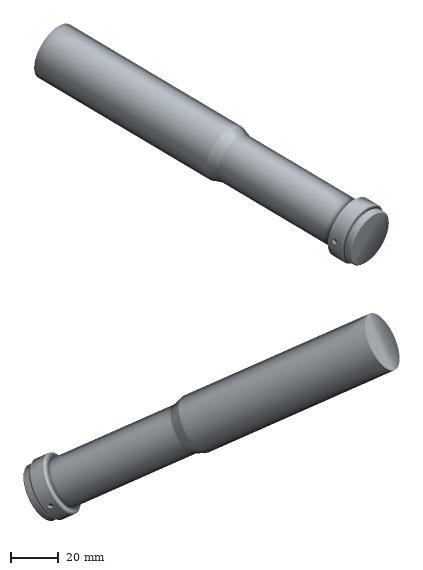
import cadquery as cq

total_length = 173.9
barrel_length = 94.6
taper_length = 5.2
collar_start = 162.0
collar_length = 7.8
neck_length = 1.0

barrel_radius = 13.0
tube_radius = 11.3
collar_radius = 14.0
neck_radius = 12.2
end_ring_radius = 12.9

edge_chamfer = 0.5

hole_diameter = 2.5
hole_depth = 1.7
hole_count = 3
first_hole_angle = 45.0

taper_end = barrel_length + taper_length
collar_end = collar_start + collar_length
end_ring_start = collar_end + neck_length


def cylinder(start, end, radius):
    """Solid cylinder on the X axis between two stations."""
    return cq.Workplane("YZ", origin=(start, 0, 0)).circle(radius).extrude(end - start)


def tapered_body():
    """Wide barrel, conical shoulder and slim tube reaching the collar."""
    return (
        cq.Workplane("XY")
        .lineTo(0, barrel_radius)
        .lineTo(barrel_length, barrel_radius)
        .lineTo(taper_end, tube_radius)
        .lineTo(collar_start, tube_radius)
        .lineTo(collar_start, 0)
        .close()
        .revolve(360, (0, 0, 0), (1, 0, 0))
    )


def set_screw_hole(angle):
    """Blind radial hole cutter at mid-collar."""
    hole_x = collar_start + collar_length / 2
    cutter = (
        cq.Workplane("XZ", origin=(hole_x, collar_radius, 0))
        .circle(hole_diameter / 2)
        .extrude(hole_depth)
    )
    return cutter.rotate((0, 0, 0), (1, 0, 0), angle)


collar = cylinder(collar_start, collar_end, collar_radius).edges("%CIRCLE").chamfer(edge_chamfer)
neck = cylinder(collar_end, end_ring_start, neck_radius)
end_ring = cylinder(end_ring_start, total_length, end_ring_radius).faces(">X").edges().chamfer(edge_chamfer)

result = tapered_body().union(collar).union(neck).union(end_ring)

for index in range(hole_count):
    hole_angle = first_hole_angle + index * 360 / hole_count
    result = result.cut(set_screw_hole(hole_angle))